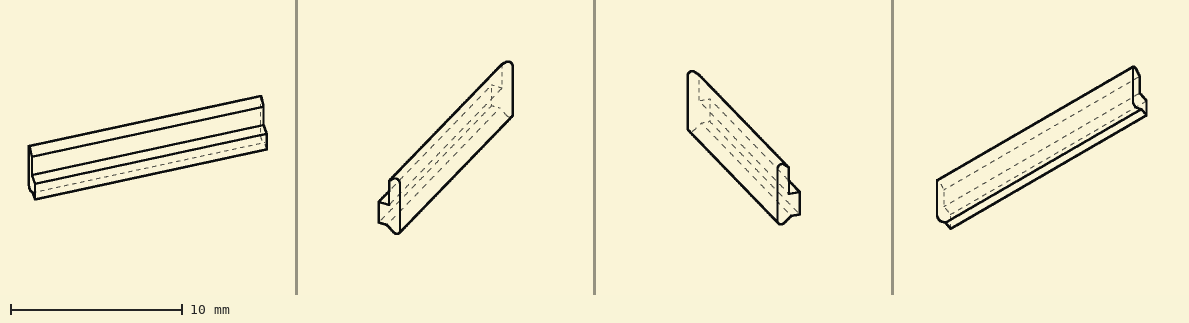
import cadquery as cq
import math

length = 14.0
total_width = 1.4
height = 3.86
plate_thickness = 0.71
edge_radius = 0.25
bevel_angle = math.radians(40)
rib_bottom = 0.43
rib_top = 1.88

round_end_x = edge_radius * (1 + math.sin(bevel_angle))
round_end_drop = edge_radius * (1 - math.cos(bevel_angle))

bevel_slope = math.tan(bevel_angle)
top_bevel_drop = round_end_drop + (plate_thickness - round_end_x) * bevel_slope
rib_bevel_x = round_end_x + (rib_bottom - round_end_drop) / bevel_slope

profile = (
    cq.Workplane("XZ")
    .moveTo(0, edge_radius)
    .lineTo(0, height - edge_radius)
    .threePointArc((edge_radius, height), (round_end_x, height - round_end_drop))
    .lineTo(plate_thickness, height - top_bevel_drop)
    .lineTo(plate_thickness, rib_top)
    .lineTo(total_width, rib_top)
    .lineTo(total_width, rib_bottom)
    .lineTo(rib_bevel_x, rib_bottom)
    .lineTo(round_end_x, round_end_drop)
    .threePointArc((edge_radius, 0), (0, edge_radius))
    .close()
)

result = profile.extrude(length / 2, both=True)